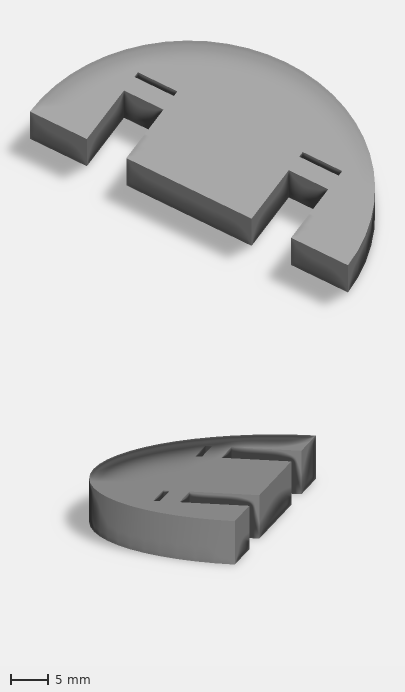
import cadquery as cq

radius = 25.0
thickness = 6.0

notch_width = 6.2
notch_depth = 9.6
notch_offset = 12.95
slot_width = 0.9
slot_wall = 2.7


def half_disc():
    return (
        cq.Workplane("XY")
        .moveTo(-radius, 0)
        .threePointArc((0, radius), (radius, 0))
        .close()
        .extrude(thickness)
    )


def through_cutter(center_x, start_y, length_y):
    """Block as wide as a notch, running through the full thickness."""
    return (
        cq.Workplane("XY")
        .center(center_x, start_y + length_y / 2)
        .rect(notch_width, length_y)
        .extrude(thickness)
    )


result = half_disc()
for center_x in (-notch_offset, notch_offset):
    result = result.cut(through_cutter(center_x, 0, notch_depth))
    result = result.cut(through_cutter(center_x, notch_depth + slot_wall, slot_width))